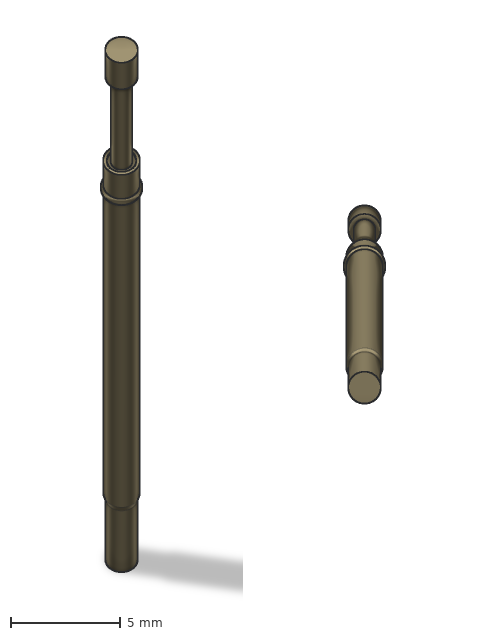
import cadquery as cq

TOTAL_HEIGHT = 38.35
TUBE_TOP = 30.03
HEAD_HEIGHT = 2.0

TUBE_DIAMETER = 1.7
TAIL_DIAMETER = 1.5
TAIL_HEIGHT = 4.65
TAPER_HEIGHT = 0.4
BORE_DIAMETER = 1.35
BORE_FLOOR = TAIL_HEIGHT + TAPER_HEIGHT

RING_DIAMETER = 1.9
RING_CENTER = 28.0
RING_HEIGHT = 0.45

MOUTH_RECESS = 0.08
BARREL_TOP = TUBE_TOP - MOUTH_RECESS
ROD_DIAMETER = 1.0
HEAD_DIAMETER = 1.5


def cylinder(diameter, bottom, top):
    """Vertical cylinder on the Z axis between two heights."""
    return cq.Workplane("XY").workplane(offset=bottom).circle(diameter / 2).extrude(top - bottom)


def make_receptacle():
    """Tube with a press ring, a tapered step, a tail and a blind bore from the top."""
    tube_radius = TUBE_DIAMETER / 2
    tail_radius = TAIL_DIAMETER / 2
    outside = (
        cq.Workplane("XZ")
        .lineTo(tail_radius, 0)
        .lineTo(tail_radius, TAIL_HEIGHT)
        .lineTo(tube_radius, TAIL_HEIGHT + TAPER_HEIGHT)
        .lineTo(tube_radius, RING_CENTER - RING_HEIGHT / 2)
        .threePointArc((RING_DIAMETER / 2, RING_CENTER), (tube_radius, RING_CENTER + RING_HEIGHT / 2))
        .lineTo(tube_radius, TUBE_TOP)
        .lineTo(0, TUBE_TOP)
        .close()
        .revolve(360, (0, 0, 0), (0, 1, 0))
    )
    return outside.cut(cylinder(BORE_DIAMETER, BORE_FLOOR, TUBE_TOP))


def make_probe():
    """Barrel that fits the bore, carrying a slim rod with a wide contact head."""
    head_bottom = TOTAL_HEIGHT - HEAD_HEIGHT
    barrel = cylinder(BORE_DIAMETER, BORE_FLOOR, BARREL_TOP)
    rod = cylinder(ROD_DIAMETER, BARREL_TOP, head_bottom)
    head = cylinder(HEAD_DIAMETER, head_bottom, TOTAL_HEIGHT)
    return barrel.union(rod).union(head)


receptacle = make_receptacle()
probe = make_probe()

result = cq.Compound.makeCompound([receptacle.val(), probe.val()])